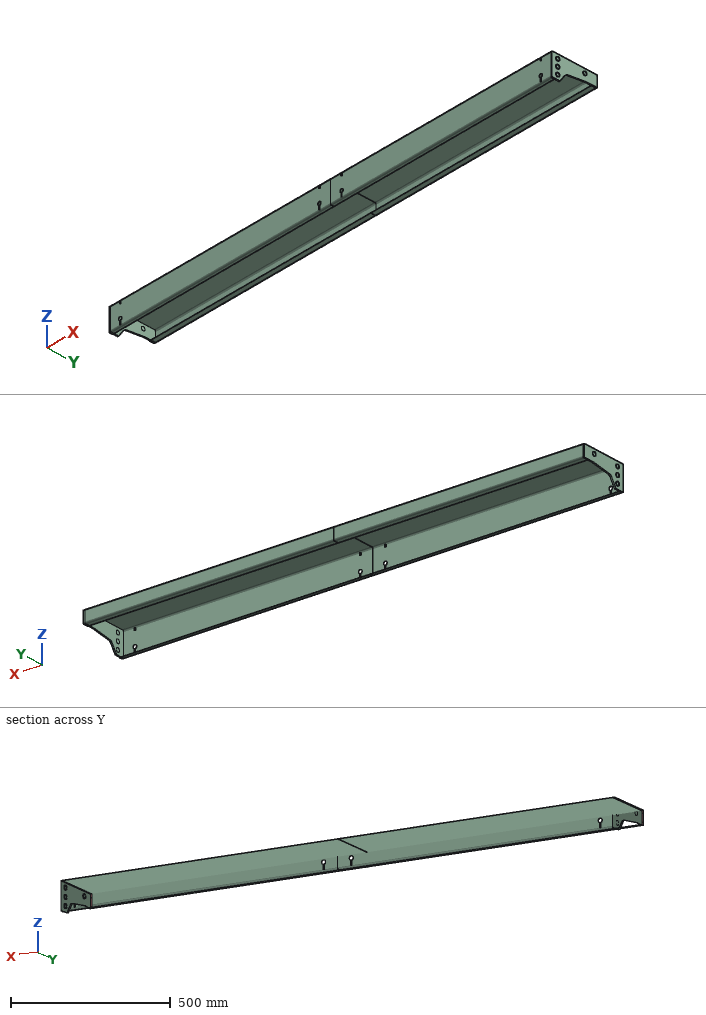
import cadquery as cq

total_length = 2000.0
depth = 200.0
wall_height = 100.0
rim_height = 50.0

half_count = 2
half_length = total_length / half_count
shelf_start = -total_length / 2
shelf_end = total_length / 2

sheet = 2.0
bend_radius = 5.0
inner_bend_radius = bend_radius - sheet
wall_lip = 15.0
rim_lip = 25.0

mount_inset = 50.0
keyhole_drop = 70.0
keyhole_diameter = 15.0
keyhole_slot_width = 5.0
keyhole_slot_end = 95.0
upper_slot_width = 5.0
upper_slot_start = 5.0
upper_slot_end = 15.0

bracket_thickness = 5.0
arm_taper_start = 152.0
knee_column = 65.0
knee_drop = 60.0
knee_radius = 15.0
foot_depth = 38.0

bracket_hole_diameter = 15.0
bracket_hole_depth = bracket_thickness / 2
hole_drop = 18.0
hole_pitch = 30.0
wall_hole_count = 3
wall_hole_column = 28.0
rim_hole_column = 145.0


def section_points(inset):
    """(Y, Z) corners along one skin of the folded sheet, offset inward by inset."""
    return [
        (wall_lip, inset - wall_height),
        (inset, inset - wall_height),
        (inset, -inset),
        (depth - inset, -inset),
        (depth - inset, inset - rim_height),
        (depth - rim_lip, inset - rim_height),
    ]


def bend_points(inset):
    """The four corners of a skin where the sheet is bent, without the free lip ends."""
    return section_points(inset)[1:-1]


def round_corners(body, middle_x, corners, radius):
    """Fillet the lengthwise edge at each (Y, Z) corner of a body centred on middle_x."""
    for y, z in corners:
        body = body.edges(cq.NearestToPointSelector((middle_x, y, z))).fillet(radius)
    return body


def vertical_slot(x, top_drop, bottom_drop, width):
    """Cutter for a round-ended slot through the wall flange."""
    middle_drop = (top_drop + bottom_drop) / 2
    length = bottom_drop - top_drop
    return cq.Workplane("XZ").center(x, -middle_drop).slot2D(length, width, 90).extrude(-sheet)


def mount_cutter(x):
    """Cutter for a keyhole and the short slot above it."""
    keyhole = cq.Workplane("XZ").center(x, -keyhole_drop).circle(keyhole_diameter / 2).extrude(-sheet)
    keyhole_slot = vertical_slot(x, keyhole_drop, keyhole_slot_end, keyhole_slot_width)
    upper_slot = vertical_slot(x, upper_slot_start, upper_slot_end, upper_slot_width)
    return keyhole.union(keyhole_slot).union(upper_slot)


def make_shelf(start):
    """One shelf half running from X = start."""
    end = start + half_length
    middle = start + half_length / 2
    outline = section_points(0) + section_points(sheet)[::-1]
    shelf = cq.Workplane("YZ", origin=(start, 0, 0)).polyline(outline).close().extrude(half_length)
    shelf = round_corners(shelf, middle, bend_points(0), bend_radius)
    shelf = round_corners(shelf, middle, bend_points(sheet), inner_bend_radius)
    for x in (start + mount_inset, end - mount_inset):
        shelf = shelf.cut(mount_cutter(x))
    return shelf


def make_bracket(outer_x, inward):
    """End plate with its outer face at X = outer_x; inward is +1 or -1 along X."""
    plane = cq.Workplane("YZ", origin=(outer_x, 0, 0))
    knee = (knee_column, -knee_drop)
    underside = [
        (arm_taper_start, sheet - rim_height),
        knee,
        (foot_depth, sheet - wall_height),
    ]
    outline = bend_points(sheet) + underside
    bracket = plane.polyline(outline).close().extrude(inward * bracket_thickness)

    middle = outer_x + inward * bracket_thickness / 2
    bracket = round_corners(bracket, middle, bend_points(sheet), inner_bend_radius)
    bracket = round_corners(bracket, middle, [knee], knee_radius)

    holes = [(wall_hole_column, -hole_drop - i * hole_pitch) for i in range(wall_hole_count)]
    holes.append((rim_hole_column, -hole_drop))
    cutter = plane.pushPoints(holes).circle(bracket_hole_diameter / 2).extrude(inward * bracket_hole_depth)
    return bracket.cut(cutter)


shelves = [make_shelf(shelf_start + i * half_length) for i in range(half_count)]
brackets = [make_bracket(outer_x, inward) for outer_x, inward in ((shelf_start, 1), (shelf_end, -1))]

result = cq.Compound.makeCompound([body.val() for body in shelves + brackets])